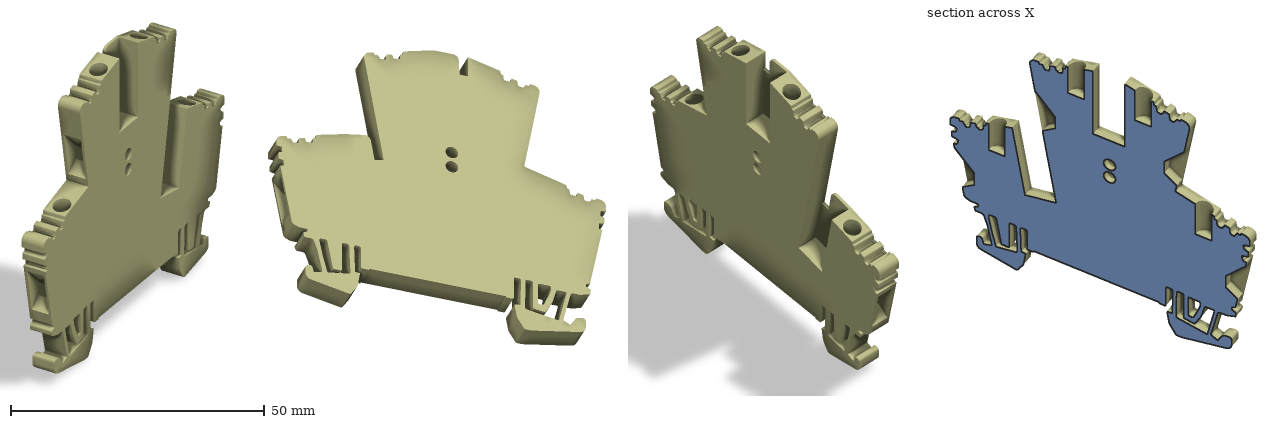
import cadquery as cq
import math


thickness = 5.1
height = 62.2
plate_thickness = 0.6
wall_lean = math.radians(10)
wall_slope = math.tan(wall_lean)

tower_center_y = -2.2
tower_shoulder = 10.15
base_shoulder = 26.25
tower_shoulder_z = 60.5
base_shoulder_z = 36.4
tower_half_width = 18.65
tower_foot_z = 38.8
base_wall_bottom_z = 14.1

pocket_width = 7.2
pocket_depth = 16.9
slot_width = 1.9
tower_slot_depth = 4.55
base_slot_depth = 5.7
slot_lip_radius = 1.25
tower_pocket_y = 1.6
base_pocket_y = 20.2
base_pocket_z = 38.0

screw_hole_radius = 1.85
screw_hole_depth = 6.9
screw_hole_x = (plate_thickness + thickness) / 2
tower_screw_ys = (5.5, -9.9)
base_screw_ys = (23.75, -23.8)
entry_width = 3.95
entry_center_x = 2.6
cross_hole_radius = 1.3
cross_hole_zs = (38.7, 35.3)

bottom_z = 7.0
lip_z = 6.7

teeth = [
    (0, 0, 0.2), (0.15, -0.75, 0), (0.6, -0.8, 0.2),
    (0.75, -2.1, 0.3), (2.15, -2.15, 0.3),
    (2.35, -1.25, 0.2), (3.6, -1.6, 0.3),
    (3.7, -2.75, 0.3), (4.85, -2.9, 0.2),
    (5.3, -2.1, 0.15), (6.0, -2.3, 0.1), (6.2, -1.7, 0.2),
]
tooth_end_up = -2.0
tooth_end_radius = 1.4

end_ribs = [
    (8.3, tooth_end_up, tooth_end_radius), (8.3, -4.4, 0),
    (7.2, -4.5, 0.2), (7.1, -5.7, 0.2),
    (7.95, -5.95, 0.3), (7.95, -7.4, 0.3),
    (6.85, -7.6, 0.2), (6.8, -8.9, 0), (7.5, -9.0, 0),
]

recess_width = 0.9
recess_depth = 0.3
tooth_recesses = [(1.3, -2.1), (4.3, -2.8)]
tooth_recess_lean = math.radians(15)
rib_recesses = [(7.1, -5.1), (6.8, -8.15)]
rib_recess_lean = math.radians(80)

left_foot = [
    (31.3, base_wall_bottom_z, 1.05), (29.85, 13.55, 0.7), (28.1, 13.55, 0), (28.1, 12.9, 0.15),
    (29.0, 12.6, 0.35), (28.7, 11.5, 0.35), (26.9, 11.5, 0.7), (26.0, 8.9, 2.1),
    (24.9, 4.0, 0.15), (26.7, 3.5, 0.15), (27.15, 5.05, 0.5), (28.45, 5.05, 0.6),
    (28.45, 1.85, 1.4), (19.05, 0, 0.55), (17.55, 2.35, 1.4), (17.05, 5.45, 0.1),
    (18.1, 5.6, 0), (18.3, 11.9, 0.4), (16.85, 11.9, 0.4),
    (16.85, lip_z, 0.35), (15.2, lip_z, 0), (15.2, bottom_z, 0),
]
right_foot = [
    (-13.6, bottom_z, 0), (-13.6, lip_z, 0), (-15.2, lip_z, 0.35), (-15.2, 11.9, 0.4),
    (-16.7, 11.9, 0.4), (-16.6, 5.6, 0), (-15.3, 5.45, 0.1), (-15.9, 2.4, 2.1),
    (-17.5, 0, 0.55), (-18.85, 0, 0.7), (-30.3, 2.2, 1.6), (-30.3, 5.5, 0.6),
    (-28.3, 5.25, 1.05), (-27.1, 3.25, 0.2), (-25.55, 4.0, 0.2), (-27.2, 10.85, 0.55),
    (-29.15, 10.85, 1.05), (-31.3, 11.55, 0.4), (-31.35, 12.65, 0.35), (-30.4, 13.05, 0.2),
    (-30.4, 13.7, 0.15), (-31.2, base_wall_bottom_z, 0),
]
foot_openings = [
    [
        (25.7, 11.9, 0.4), (24.0, 11.9, 0.4), (22.7, 5.25, 0.35), (20.8, 5.25, 0.3),
        (20.8, 11.9, 0.2), (19.35, 11.9, 0.4), (19.05, 4.9, 0.4), (23.9, 4.15, 0.2),
        (24.9, 8.15, 2.1),
    ],
    [
        (-17.7, 11.9, 0.35), (-19.2, 11.9, 0.35), (-19.2, 5.4, 0.4), (-21.8, 5.05, 0.3),
        (-23.35, 7.9, 2.1), (-24.2, 10.85, 0.35), (-26.3, 10.85, 0.2), (-24.65, 3.7, 0.1), (-17.55, 4.9, 0.5),
    ],
    [
        (-20.3, 11.55, 0.2), (-23.1, 11.55, 0.2), (-22.9, 10.2, 0.55), (-21.5, 6.7, 0.5),
        (-20.3, 6.7, 0.35),
    ],
]

entry_mouth_top = 10.15
entry_back_top = 15.0
entry_back_bottom = 17.95
entry_mouth_bottom = 19.95
entry_depth = 4.6


def rounded_profile(corners):
    """Closed outline in the YZ plane from (y, z, radius) corners."""
    count = len(corners)
    cuts = []
    for i, (y, z, radius) in enumerate(corners):
        if radius == 0:
            cuts.append([(y, z)])
            continue
        before = corners[i - 1]
        after = corners[(i + 1) % count]
        to_before = math.atan2(before[1] - z, before[0] - y)
        to_after = math.atan2(after[1] - z, after[0] - y)
        half_turn = math.remainder(to_after - to_before, math.tau) / 2
        half_angle = abs(half_turn)
        reach = radius / math.tan(half_angle)
        bisector = to_before + half_turn
        middle = radius / math.sin(half_angle) - radius
        cuts.append([
            (y + reach * math.cos(to_before), z + reach * math.sin(to_before)),
            (y + middle * math.cos(bisector), z + middle * math.sin(bisector)),
            (y + reach * math.cos(to_after), z + reach * math.sin(to_after)),
        ])
    outline = cq.Workplane("YZ").moveTo(*cuts[0][-1])
    for cut in cuts[1:] + cuts[:1]:
        outline = outline.lineTo(*cut[0])
        if len(cut) > 1:
            outline = outline.threePointArc(cut[1], cut[2])
    return outline.close()


def shoulder(shape, center_y, half_width, z, side):
    """Place a tooth or rib list on the shoulder of one side (+1 or -1) of a tier."""
    return [(center_y + side * (half_width + out), z + up, radius) for out, up, radius in shape]


def tower_shoulder_corners(side):
    wall_top = (tower_center_y + side * tower_half_width, tower_shoulder_z + tooth_end_up, tooth_end_radius)
    return shoulder(teeth, tower_center_y, tower_shoulder, tower_shoulder_z, side) + [wall_top]


def base_shoulder_corners(side):
    return shoulder(teeth + end_ribs, 0, base_shoulder, base_shoulder_z, side)


def pocket_point(corner, lean, along, down):
    """Point a distance along (toward -Y) and down from the terminal corner, in a leaning frame."""
    y = corner[0] - along * math.cos(lean) - down * math.sin(lean)
    z = corner[1] + along * math.sin(lean) - down * math.cos(lean)
    return y, z


def slot_corners(corner, lean, depth):
    """Terminal corner, rounded slot lip and slot floor."""
    slot_start = pocket_width - slot_width
    return [
        (*corner, 0),
        (*pocket_point(corner, lean, slot_start, 0), slot_lip_radius),
        (*pocket_point(corner, lean, slot_start, depth), 0),
        (*pocket_point(corner, lean, pocket_width, depth), 0),
    ]


def pocket(corner, lean):
    """Deep pocket behind the cover plate, open to +X."""
    corners = [(0, 0), (pocket_width, 0), (pocket_width, pocket_depth), (0, pocket_depth)]
    outline = [pocket_point(corner, lean, along, down) for along, down in corners]
    return cq.Workplane("YZ", origin=(plate_thickness, 0, 0)).polyline(outline).close().extrude(thickness)


def groove_recess(center_y, half_width, shoulder_z, side, floor, lean):
    """Slot along X that sinks the floor of one groove, leaving the cover plate as a low wall."""
    out, up = floor
    return (
        cq.Workplane("XY")
        .box(thickness, recess_width, 2 * recess_depth, centered=(False, True, True))
        .rotate((0, 0, 0), (1, 0, 0), -side * math.degrees(lean))
        .translate((plate_thickness, center_y + side * (half_width + out), shoulder_z + up))
    )


def screw_hole(y, surface_z):
    """Vertical hole to a set depth below the sloping terminal face."""
    return (
        cq.Workplane("XY", origin=(screw_hole_x, y, surface_z - screw_hole_depth))
        .circle(screw_hole_radius)
        .extrude(2 * screw_hole_depth)
    )


def wire_entry(center_y, wall_y, shoulder_z, side):
    """Funnel into a leaning wall; wall_y is the wall's distance from the tier centre at the mouth top."""
    mouth_drop = entry_mouth_bottom - entry_mouth_top
    section = [
        (wall_y, entry_mouth_top),
        (wall_y - entry_depth, entry_back_top),
        (wall_y - entry_depth, entry_back_bottom),
        (wall_y - mouth_drop * wall_slope, entry_mouth_bottom),
    ]
    outline = [(center_y + side * out, shoulder_z - down) for out, down in section]
    return (
        cq.Workplane("YZ", origin=(entry_center_x, 0, 0))
        .polyline(outline)
        .close()
        .extrude(entry_width / 2, both=True)
    )


tower_corner = (tower_pocket_y, height)
base_corner = (base_pocket_y, base_pocket_z)
tower_slot = slot_corners(tower_corner, 0, tower_slot_depth)
base_slot = slot_corners(base_corner, wall_lean, base_slot_depth)
tower_slot_far_y = tower_slot[-1][0]
tower_wall_top_z = tower_shoulder_z + tooth_end_up
tower_foot_y = tower_center_y - tower_half_width + (tower_wall_top_z - tower_foot_z) * wall_slope

outline = [
    *tower_shoulder_corners(1),
    *reversed(base_slot),
    *base_shoulder_corners(1),
    *left_foot,
    *right_foot,
    *reversed(base_shoulder_corners(-1)),
    (tower_foot_y, tower_foot_z, 0),
    *reversed(tower_shoulder_corners(-1)),
    (tower_slot_far_y, height, 0),
    *reversed(tower_slot),
]
result = rounded_profile(outline).extrude(thickness)

for opening in foot_openings:
    result = result.cut(rounded_profile(opening).extrude(thickness))

result = result.cut(pocket(tower_corner, 0))
result = result.cut(pocket(base_corner, wall_lean))

for side in (1, -1):
    for floor in tooth_recesses:
        for tier in (
            (tower_center_y, tower_shoulder, tower_shoulder_z),
            (0, base_shoulder, base_shoulder_z),
        ):
            result = result.cut(groove_recess(*tier, side, floor, tooth_recess_lean))
    for floor in rib_recesses:
        result = result.cut(groove_recess(0, base_shoulder, base_shoulder_z, side, floor, rib_recess_lean))

for y in tower_screw_ys:
    result = result.cut(screw_hole(y, tower_shoulder_z))
for y in base_screw_ys:
    result = result.cut(screw_hole(y, base_shoulder_z))

tower_entry_y = tower_half_width - (entry_mouth_top + tooth_end_up) * wall_slope
base_wall_out, base_wall_up, _ = end_ribs[-1]
base_entry_y = base_shoulder + base_wall_out - (entry_mouth_top + base_wall_up) * wall_slope
for side in (1, -1):
    result = result.cut(wire_entry(tower_center_y, tower_entry_y, tower_shoulder_z, side))
    result = result.cut(wire_entry(0, base_entry_y, base_shoulder_z, side))

for z in cross_hole_zs:
    cross_hole = cq.Workplane("YZ").center(tower_center_y, z).circle(cross_hole_radius).extrude(thickness)
    result = result.cut(cross_hole)